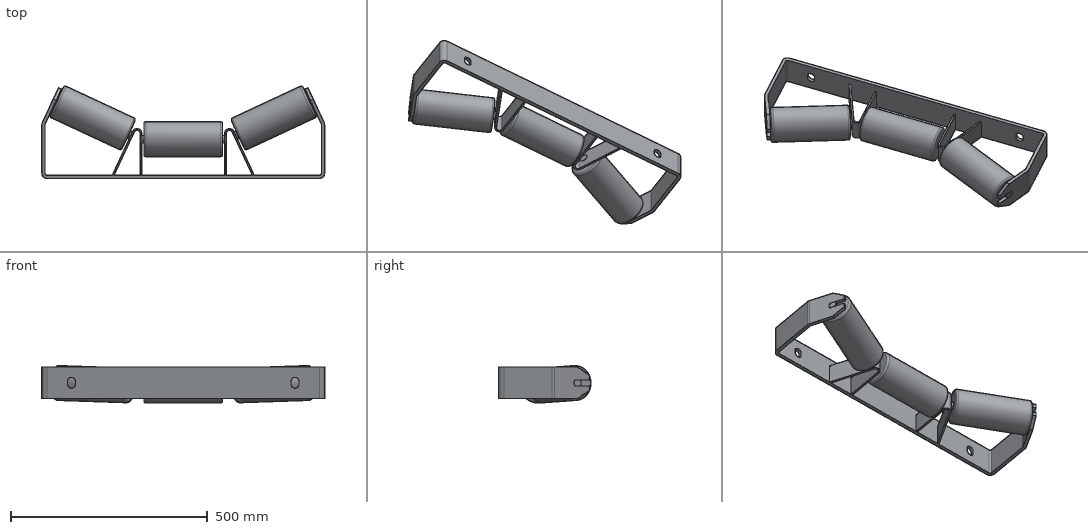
import cadquery as cq
import math

OVERALL_LENGTH = 720.0
FRAME_HEIGHT = 81.0
BAR_THICKNESS = 9.0
BAR_BEND_RADIUS = 9.0
LEAN_ANGLE = 25.0
LEAN_START = 139.0
END_PLATE_LENGTH = 100.0
TIP_CHAMFER_LENGTH = 32.5
TIP_CHAMFER_HEIGHT = 20.0

SLOT_SPACING = 569.0
SLOT_WIDTH = 19.5
SLOT_HEIGHT = 28.0

STRIP_THICKNESS = 4.7
STRIP_HEIGHT = 57.0
STRIP_BEND_RADIUS = 10.0
BRACKET_SPAN = 210.0
BRACKET_FOOT_WIDTH = 73.0

ROLLER_DIAMETER = 89.0
ROLLER_LENGTH = 201.0
ROLLER_EDGE_RADIUS = 5.0
AXLE_DIAMETER = 20.0
AXLE_FLATS_WIDTH = 15.0
AXLE_PLATE_DISTANCE = 67.0
MIDDLE_ROLLER_Y = 100.0
AXLE_DROP = 6.85

lean = math.radians(LEAN_ANGLE)
along_plate = cq.Vector(math.sin(lean), math.cos(lean), 0)
across_plate = cq.Vector(math.cos(lean), -math.sin(lean), 0)

lean_point = cq.Vector(-(OVERALL_LENGTH - BAR_THICKNESS) / 2, LEAN_START, 0)
plate_tip = lean_point + along_plate * END_PLATE_LENGTH
axle_in_plate = lean_point + along_plate * AXLE_PLATE_DISTANCE

base_middle_y = BAR_THICKNESS / 2
upright_foot = cq.Vector(-(BRACKET_SPAN + STRIP_THICKNESS) / 2, base_middle_y, 0)
leaning_foot = upright_foot - cq.Vector(BRACKET_FOOT_WIDTH, 0, 0)
bracket_peak = upright_foot + cq.Vector(0, BRACKET_FOOT_WIDTH / math.tan(lean), 0)

leg_distance = (leaning_foot - lean_point).dot(across_plate)
SIDE_AXLE_LENGTH = leg_distance + (BAR_THICKNESS + STRIP_THICKNESS) / 2


def mirrored_in_x(point):
    return cq.Vector(-point.x, point.y, point.z)


def bent_strip(points, thickness, height, bend_radius):
    """A strip standing on edge, centred on a path through the points, with rounded bends."""
    path = cq.Wire.makePolygon(points)
    path = path.fillet(bend_radius, path.Vertices()[1:-1])
    start_plane = cq.Plane(origin=points[0], xDir=(0, 0, 1), normal=points[1] - points[0])
    return cq.Workplane(start_plane).rect(height, thickness).sweep(cq.Workplane(path))


def frame_bar():
    corner = cq.Vector(lean_point.x, base_middle_y, 0)
    left_points = [plate_tip, lean_point, corner]
    right_points = [mirrored_in_x(point) for point in reversed(left_points)]
    return bent_strip(left_points + right_points, BAR_THICKNESS, FRAME_HEIGHT, BAR_BEND_RADIUS)


def left_bracket():
    points = [leaning_foot, bracket_peak, upright_foot]
    strip = bent_strip(points, STRIP_THICKNESS, STRIP_HEIGHT, STRIP_BEND_RADIUS)
    return strip.translate((0, 0, (STRIP_HEIGHT - FRAME_HEIGHT) / 2))


def mounting_slots():
    return (
        cq.Workplane("XZ")
        .pushPoints([(-SLOT_SPACING / 2, 0), (SLOT_SPACING / 2, 0)])
        .slot2D(SLOT_HEIGHT, SLOT_WIDTH, 90)
        .extrude(-2 * BAR_THICKNESS)
    )


def left_axle_slot():
    """The open slot from the tip of the left end plate, its closed end rounded to suit the axle."""
    plate_plane = cq.Plane(origin=axle_in_plate, xDir=along_plate, normal=across_plate)
    open_length = END_PLATE_LENGTH - AXLE_PLATE_DISTANCE
    round_end = cq.Workplane(plate_plane).circle(AXLE_DIAMETER / 2).extrude(BAR_THICKNESS, both=True)
    opening = (
        cq.Workplane(plate_plane)
        .center(open_length / 2, 0)
        .rect(open_length, AXLE_DIAMETER)
        .extrude(BAR_THICKNESS, both=True)
    )
    slot_band = (
        cq.Workplane(plate_plane)
        .rect(2 * open_length, AXLE_FLATS_WIDTH)
        .extrude(BAR_THICKNESS, both=True)
    )
    return round_end.union(opening).intersect(slot_band)


def left_tip_corner(side):
    """The corner cut off the tip of the left end plate, at the top (side 1) or bottom (side -1)."""
    edge = side * FRAME_HEIGHT / 2
    return (
        cq.Workplane(cq.Plane(origin=plate_tip, xDir=along_plate, normal=across_plate))
        .moveTo(0, edge)
        .lineTo(-TIP_CHAMFER_LENGTH, edge)
        .lineTo(0, edge - side * TIP_CHAMFER_HEIGHT)
        .close()
        .extrude(BAR_THICKNESS, both=True)
    )


def roller_on_axle(plane, axle_length):
    """A roller in the middle of an axle that starts at the plane and runs along its normal."""
    axle = cq.Workplane(plane).circle(AXLE_DIAMETER / 2).extrude(axle_length)
    drum = (
        cq.Workplane(plane)
        .workplane(offset=(axle_length - ROLLER_LENGTH) / 2)
        .circle(ROLLER_DIAMETER / 2)
        .extrude(ROLLER_LENGTH)
        .edges()
        .fillet(ROLLER_EDGE_RADIUS)
    )
    return axle.union(drum)


def middle_roller():
    axle_length = BRACKET_SPAN + 2 * STRIP_THICKNESS
    axle_start = (-axle_length / 2, MIDDLE_ROLLER_Y, -AXLE_DROP)
    return roller_on_axle(cq.Plane(origin=axle_start, xDir=(0, 1, 0), normal=(1, 0, 0)), axle_length)


def left_axle_plane():
    """The outer end of the left axle, which slopes down to its bracket."""
    axle_start = axle_in_plate - across_plate * (BAR_THICKNESS / 2)
    slope = cq.Vector(0, 0, -AXLE_DROP / SIDE_AXLE_LENGTH)
    return cq.Plane(origin=axle_start, xDir=along_plate, normal=across_plate + slope)


def left_roller():
    """A side roller, with flats where its axle sits in the end plate."""
    plane = left_axle_plane()
    cutter_centre = (AXLE_FLATS_WIDTH + AXLE_DIAMETER) / 2
    flats = (
        cq.Workplane(plane)
        .pushPoints([(0, cutter_centre), (0, -cutter_centre)])
        .rect(AXLE_DIAMETER, AXLE_DIAMETER)
        .extrude(BAR_THICKNESS)
    )
    return roller_on_axle(plane, SIDE_AXLE_LENGTH).cut(flats)


def left_bracket_hole():
    """The hole for the side axle, through the leaning leg of the left bracket."""
    return (
        cq.Workplane(left_axle_plane())
        .workplane(offset=SIDE_AXLE_LENGTH - 2 * STRIP_THICKNESS)
        .circle(AXLE_DIAMETER / 2)
        .extrude(3 * STRIP_THICKNESS)
    )


def frame_with_middle_roller():
    """The bent bar, both brackets and the middle roller, as one solid."""
    frame = frame_bar().cut(mounting_slots())
    left_cuts = [left_axle_slot(), left_tip_corner(1), left_tip_corner(-1)]
    for left_cut in left_cuts:
        frame = frame.cut(left_cut).cut(left_cut.mirror("YZ"))
    bracket = left_bracket().cut(left_bracket_hole())
    return frame.union(bracket).union(bracket.mirror("YZ")).union(middle_roller())


side_rollers = []
for mirrored in (False, True):
    roller = left_roller()
    side_rollers.append(roller.mirror("YZ") if mirrored else roller)

frame = frame_with_middle_roller()
for roller in side_rollers:
    frame = frame.cut(roller)

result = cq.Compound.makeCompound([frame.val(), *[roller.val() for roller in side_rollers]])